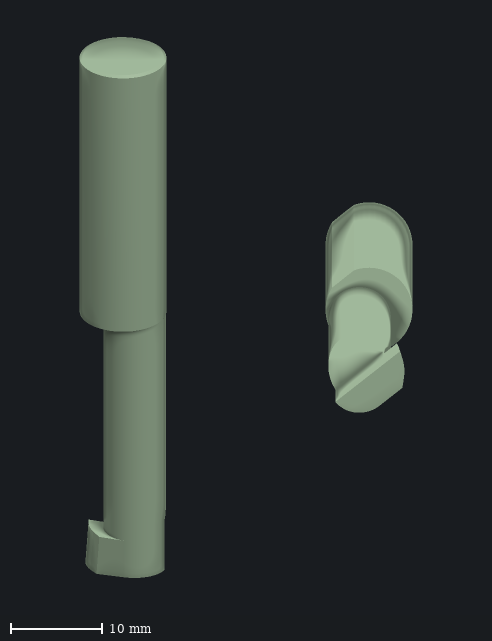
import cadquery as cq
import math

total_length = 63.49
shank_diameter = 9.525
shank_length = 31.75
shank_flat_y = 4.5075
shank_chamfer_radial = 0.4
shank_chamfer_axial = 0.2

neck_diameter = 6.86
relief_end_z = 6.35
relief_angle = 45.0

head_height = 5.1
tip_x = -3.95
heel_x = -2.6
heel_y = -2.5
corner_x = -1.6
flank_radius = 5.0
side_clearance_angle = 4.0

end_slope_x = 2.0
end_slope_y = 6.0

shank_radius = shank_diameter / 2
neck_radius = neck_diameter / 2
neck_x = shank_radius - neck_radius
shank_bottom_z = total_length - shank_length
lowest_tip_x = tip_x - head_height * math.tan(math.radians(side_clearance_angle))
cutter_size = 4 * shank_diameter


def make_shank():
    """Round shank with a chamfered top edge and a full-length flat on +Y."""
    shank = (
        cq.Workplane("XY", origin=(0, 0, shank_bottom_z))
        .circle(shank_radius)
        .extrude(shank_length)
        .faces(">Z")
        .chamfer(shank_chamfer_axial, shank_chamfer_radial)
    )
    flat_cutter = (
        cq.Workplane("XY", origin=(0, shank_flat_y, shank_bottom_z))
        .rect(shank_diameter, cutter_size)
        .extrude(shank_length)
        .translate((0, cutter_size / 2, 0))
    )
    return shank.cut(flat_cutter)


def make_neck():
    """Offset round neck, cut to half depth at its lower end behind a sloped runout."""
    neck = cq.Workplane("XY").center(neck_x, 0).circle(neck_radius).extrude(shank_bottom_z)
    runout_height = shank_diameter * math.tan(math.radians(relief_angle))
    relief_cutter = (
        cq.Workplane("YZ")
        .polyline([
            (0, 0),
            (0, relief_end_z),
            (shank_diameter, relief_end_z + runout_height),
            (shank_diameter, 0),
        ])
        .close()
        .extrude(cutter_size / 2, both=True)
    )
    return neck.cut(relief_cutter)


def make_head():
    """Cutting head: a half-depth outline swept downward and outward toward the tip."""
    chord_x = heel_x - tip_x
    chord_y = heel_y
    chord = math.hypot(chord_x, chord_y)
    sagitta = flank_radius - math.sqrt(flank_radius**2 - (chord / 2) ** 2)
    flank_middle = (
        (tip_x + heel_x) / 2 + sagitta * chord_y / chord,
        heel_y / 2 - sagitta * chord_x / chord,
    )
    outline = (
        cq.Workplane("XY", origin=(0, 0, head_height))
        .moveTo(tip_x, 0)
        .threePointArc(flank_middle, (heel_x, heel_y))
        .lineTo(corner_x, -neck_radius)
        .lineTo(shank_radius, -neck_radius)
        .lineTo(shank_radius, 0)
        .close()
    )
    sweep = cq.Vector(lowest_tip_x - tip_x, 0, -head_height)
    head = cq.Workplane(cq.Solid.extrudeLinear(outline.val(), [], sweep))
    beyond_neck_axis = (
        cq.Workplane("XY")
        .box(cutter_size, cutter_size, cutter_size)
        .translate((neck_x + cutter_size / 2, 0, 0))
    )
    return head.cut(beyond_neck_axis)


def make_end_cutter():
    """Block below the sloped end face, whose top plane passes through the tip."""
    slope_x = math.tan(math.radians(end_slope_x))
    slope_y = math.tan(math.radians(end_slope_y))
    end_plane = cq.Plane(
        origin=(lowest_tip_x, 0, 0),
        xDir=(1, 0, slope_x),
        normal=(-slope_x, slope_y, 1),
    )
    return cq.Workplane(end_plane).rect(cutter_size, cutter_size).extrude(-shank_diameter)


result = make_shank().union(make_neck()).union(make_head()).cut(make_end_cutter())